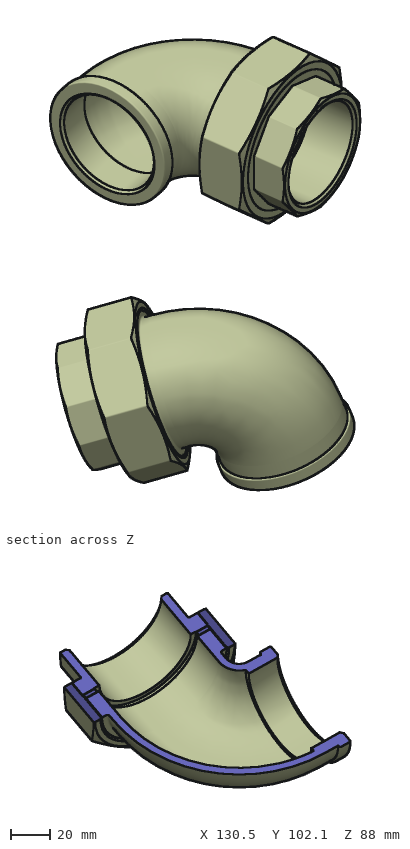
import cadquery as cq
import math

TOTAL_LENGTH = 130.5
INLET_REACH = 58.1

PIPE_DIAMETER = 70.0
BEND_RADIUS = 43.0
PASSAGE_DIAMETER = 61.0
BORE_DIAMETER = 56.6
INLET_BORE_DEPTH = 19.2
BORE_MOUTH_DIAMETER = 59.6
COLLAR_DIAMETER = 73.0
COLLAR_LENGTH = 7.0
COLLAR_FILLET = 0.8
FLANGE_DIAMETER = 77.5
FLANGE_LENGTH = 15.0
FLANGE_RECESS = 0.4
FLANGE_FILLET = 1.0

GASKET_BORE_DIAMETER = 63.0
GASKET_THICKNESS = 2.5

NUT_SIDES = 8
NUT_ACROSS_FLATS = 88.0
NUT_LENGTH = 27.4
NUT_HOLE_DIAMETER = 77.8
NUT_HOLE_MOUTH_DIAMETER = 80.0
NUT_FACE_DIAMETER = 86.5
NUT_CHAMFER_ANGLE = 25.0

TAIL_SIDES = 10
TAIL_ACROSS_FLATS = 67.0
TAIL_HEAD_LENGTH = 19.0
TAIL_FACE_DIAMETER = 65.8
TAIL_CHAMFER_ANGLE = 27.0

CORNER_FILLET = 1.2

BORE_CHAMFER = (BORE_MOUTH_DIAMETER - BORE_DIAMETER) / 2
NUT_HOLE_CHAMFER = (NUT_HOLE_MOUTH_DIAMETER - NUT_HOLE_DIAMETER) / 2

END_X = TOTAL_LENGTH - COLLAR_DIAMETER / 2
NUT_END_X = END_X - TAIL_HEAD_LENGTH
NUT_START_X = NUT_END_X - NUT_LENGTH
FLANGE_X = NUT_START_X + FLANGE_RECESS
GASKET_X = FLANGE_X + FLANGE_LENGTH
SPIGOT_X = GASKET_X + GASKET_THICKNESS


def outlet_cylinder(diameter, start, end):
    """Cylinder on the outlet axis between two X stations."""
    return cq.Workplane("YZ", origin=(start, 0, 0)).circle(diameter / 2).extrude(end - start)


def inlet_cylinder(diameter, start, end):
    """Cylinder on the inlet axis between two Y stations."""
    return cq.Workplane("XZ", origin=(0, start, 0)).circle(diameter / 2).extrude(start - end)


def polygon_prism(sides, across_flats, first_corner, start, end):
    """Regular prism along X with rounded corners; first_corner is its angle from Y in degrees."""
    corner_diameter = across_flats / math.cos(math.pi / sides)
    return (
        cq.Workplane("YZ", origin=(start, 0, 0))
        .transformed(rotate=(0, 0, first_corner))
        .polygon(sides, corner_diameter)
        .extrude(end - start)
        .edges("|X")
        .fillet(CORNER_FILLET)
    )


def chamfer_envelope(face_diameter, angle, start, end, both_ends):
    """Turned blank whose conical ends bevel the corners of a polygon prism."""
    face_radius = face_diameter / 2
    cone_depth = (end - start) / 4
    rim_radius = face_radius + cone_depth / math.tan(math.radians(angle))
    outline = [(start, 0)]
    if both_ends:
        outline += [(start, face_radius), (start + cone_depth, rim_radius)]
    else:
        outline += [(start, rim_radius)]
    outline += [(end - cone_depth, rim_radius), (end, face_radius), (end, 0)]
    return cq.Workplane("XY").polyline(outline).close().revolve(360, (0, 0, 0), (1, 0, 0))


def elbow_sweep(diameter, inlet_end, outlet_end):
    """Straight inlet, quarter bend and straight outlet of one diameter."""
    inlet = inlet_cylinder(diameter, -BEND_RADIUS, inlet_end)
    bend = (
        cq.Workplane("XZ", origin=(0, -BEND_RADIUS, 0))
        .circle(diameter / 2)
        .revolve(90, (BEND_RADIUS, 1.3, 0), (BEND_RADIUS, 0, 0))
    )
    outlet = outlet_cylinder(diameter, BEND_RADIUS, outlet_end)
    return bend.union(inlet).union(outlet)


def elbow_cavity():
    """Curved passage that steps down to the narrower inlet bore."""
    inlet_bore_end = -INLET_REACH + INLET_BORE_DEPTH
    inlet_stub = inlet_cylinder(PIPE_DIAMETER, inlet_bore_end, -INLET_REACH)
    inlet_bore = inlet_cylinder(BORE_DIAMETER, inlet_bore_end, -INLET_REACH)
    passage = elbow_sweep(PASSAGE_DIAMETER, -INLET_REACH, GASKET_X)
    return passage.cut(inlet_stub).union(inlet_bore)


def make_elbow():
    collar_start = -INLET_REACH + COLLAR_LENGTH
    collar = inlet_cylinder(COLLAR_DIAMETER, collar_start, -INLET_REACH)
    collar = collar.edges().fillet(COLLAR_FILLET)

    flange = outlet_cylinder(FLANGE_DIAMETER, FLANGE_X, GASKET_X)
    body = elbow_sweep(PIPE_DIAMETER, collar_start, FLANGE_X).union(flange)
    flange_root = body.faces(cq.selectors.NearestToPointSelector((FLANGE_X, 0, FLANGE_DIAMETER / 2)))
    body = flange_root.edges(cq.selectors.RadiusNthSelector(0)).fillet(FLANGE_FILLET)

    elbow = body.union(collar).cut(elbow_cavity())
    return elbow.faces("<Y").edges(cq.selectors.RadiusNthSelector(0)).chamfer(BORE_CHAMFER)


def make_gasket():
    ring = outlet_cylinder(FLANGE_DIAMETER, GASKET_X, SPIGOT_X)
    return ring.cut(outlet_cylinder(GASKET_BORE_DIAMETER, GASKET_X, SPIGOT_X))


def make_nut():
    corner_angle = 180 / NUT_SIDES
    prism = polygon_prism(NUT_SIDES, NUT_ACROSS_FLATS, corner_angle, NUT_START_X, NUT_END_X)
    blank = chamfer_envelope(
        NUT_FACE_DIAMETER, NUT_CHAMFER_ANGLE, NUT_START_X, NUT_END_X, both_ends=True
    )
    nut = prism.intersect(blank).cut(outlet_cylinder(NUT_HOLE_DIAMETER, NUT_START_X, NUT_END_X))
    return nut.faces("<X").edges(cq.selectors.RadiusNthSelector(0)).chamfer(NUT_HOLE_CHAMFER)


def make_tailpiece():
    corner_angle = 90
    prism = polygon_prism(TAIL_SIDES, TAIL_ACROSS_FLATS, corner_angle, NUT_END_X, END_X)
    blank = chamfer_envelope(
        TAIL_FACE_DIAMETER, TAIL_CHAMFER_ANGLE, NUT_END_X, END_X, both_ends=False
    )
    spigot = outlet_cylinder(NUT_HOLE_DIAMETER, SPIGOT_X, NUT_END_X)
    tail = prism.intersect(blank).union(spigot)
    tail = tail.cut(outlet_cylinder(BORE_DIAMETER, SPIGOT_X, END_X))
    return tail.faces(">X").edges(cq.selectors.RadiusNthSelector(0)).chamfer(BORE_CHAMFER)


elbow = make_elbow()
gasket = make_gasket()
nut = make_nut()
tailpiece = make_tailpiece()

result = cq.Compound.makeCompound([elbow.val(), gasket.val(), nut.val(), tailpiece.val()])